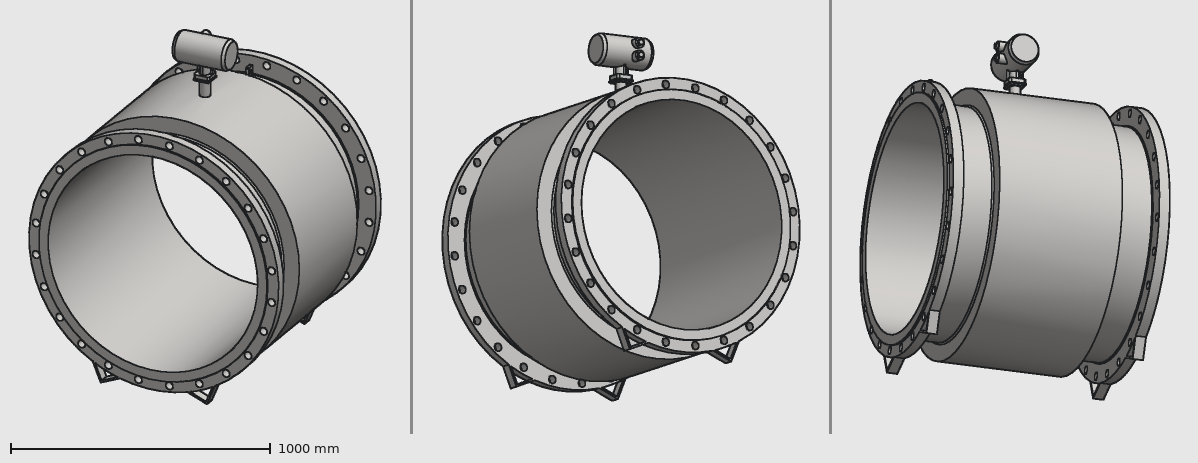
import cadquery as cq
import math

bore_diameter = 900.0
pipe_diameter = 916.0
overall_length = 900.0
body_diameter = 1060.0
body_length = 501.0
body_weld_size = 7.0
flange_weld_size = 4.0

flange_diameter = 1074.0
flange_thickness = 43.0
raised_face_diameter = 980.0
raised_face_height = 8.0
bolt_circle_diameter = 1020.0
bolt_hole_diameter = 30.0
bolt_count = 24

foot_angle = 22.5
foot_corner_radius = 597.0
foot_leg_length = 93.0
foot_leg_thickness = 8.0

lug_length = 35.0
lug_thickness = 12.0
lug_top = 497.0
lug_hole_diameter = 17.0
lug_hole_height = 475.0
lug_corner_chamfer = 4.0

screw_angle = 15
screw_shank_diameter = 8.0
screw_shank_length = 19.0
screw_washer_diameter = 19.0
screw_washer_thickness = 9.0
screw_head_diameter = 10.0
screw_head_height = 7.0

stem_diameter = 43.0
neck_width = 68.0
neck_bottom = 595.0
neck_rim_height = 8.0
neck_rim_chamfer = 5.0
gasket_width = 60.0
gasket_height = 3.0
neck_block_height = 17.0
neck_corner_chamfer = 8.0
post_diameter = 8.0
post_circle_diameter = 57.0
post_count = 4

housing_height = 718.0
housing_diameter = 125.0
housing_length = 226.0
cap_face_diameter = 110.0
cap_edge_length = 13.0
gland_diameter = 39.0
gland_reach = 84.0
gland_tip_diameter = 21.0
gland_tip_reach = 93.0
gland_x = -35.0
gland_spacing = 49.0
gland_rise = 1.0

half_length = overall_length / 2
flange_outer_y = half_length - raised_face_height
flange_inner_y = flange_outer_y - flange_thickness
pipe_radius = pipe_diameter / 2
flange_radius = flange_diameter / 2
gasket_bottom = neck_bottom + neck_rim_height
neck_block_bottom = gasket_bottom + gasket_height
neck_block_top = neck_block_bottom + neck_block_height


def rod_along_y(diameter, y_start, y_end, x=0, z=0):
    """Cylinder parallel to Y between two Y positions."""
    plane = cq.Plane(origin=(x, y_start, z), xDir=(1, 0, 0), normal=(0, 1, 0))
    return cq.Workplane(plane).circle(diameter / 2).extrude(y_end - y_start)


def block_on_z(width, z_bottom, height):
    """Square block centred on the Z axis."""
    return cq.Workplane("XY", origin=(0, 0, z_bottom)).rect(width, width).extrude(height)


def make_tube():
    """Pipe, body, flanges and weld beads, revolved about Y from one profile."""
    body_end = body_length / 2
    rear_half = [
        (0, half_length),
        (raised_face_diameter / 2, half_length),
        (raised_face_diameter / 2, flange_outer_y),
        (flange_radius, flange_outer_y),
        (flange_radius, flange_inner_y),
        (pipe_radius + flange_weld_size, flange_inner_y),
        (pipe_radius, flange_inner_y - flange_weld_size),
        (pipe_radius, body_end + body_weld_size),
        (pipe_radius + body_weld_size, body_end),
        (body_diameter / 2, body_end),
    ]
    mirrored_half = [(radius, -y) for radius, y in reversed(rear_half)]
    profile = cq.Workplane("XY").polyline(rear_half + mirrored_half).close()
    return profile.revolve(360, (0, 0, 0), (0, 1, 0))


def make_bolt_holes():
    """Bolt holes through both flanges, straddling the vertical centreline."""
    pitch = 360 / bolt_count
    holes = (
        cq.Workplane("XZ")
        .polarArray(bolt_circle_diameter / 2, pitch / 2, 360, bolt_count)
        .circle(bolt_hole_diameter / 2)
        .extrude(half_length, both=True)
    )
    middle = rod_along_y(flange_diameter, -flange_inner_y, flange_inner_y)
    return holes.cut(middle)


def make_feet():
    """Right-angle feet, corner pointing outward, as wide as the flanges."""
    leg = foot_leg_length
    inner_leg = leg - foot_leg_thickness
    angle_bar = (
        cq.Workplane("XZ", origin=(0, flange_outer_y, 0))
        .rect(leg, leg)
        .extrude(flange_thickness)
        .translate((leg / 2, 0, leg / 2))
        .cut(
            cq.Workplane("XZ", origin=(0, flange_outer_y, 0))
            .rect(inner_leg, inner_leg)
            .extrude(flange_thickness)
            .translate((leg - inner_leg / 2, 0, leg - inner_leg / 2))
        )
        .rotate((0, 0, 0), (0, 1, 0), -45)
        .translate((0, 0, -foot_corner_radius))
    )
    feet = cq.Workplane("XY")
    for side in (-foot_angle, foot_angle):
        foot = angle_bar.rotate((0, 0, 0), (0, 1, 0), side)
        feet = feet.union(foot).union(foot.mirror("XZ"))
    return feet


def make_lugs():
    """Drilled lifting lugs standing on the pipe against the inner flange faces."""
    lug_base = bore_diameter / 2
    lug_height = lug_top - lug_base
    lug_y = flange_inner_y - lug_length / 2
    lug = (
        cq.Workplane("XY")
        .box(lug_thickness, lug_length, lug_height)
        .edges("|X and >Z and <Y")
        .chamfer(lug_corner_chamfer)
        .translate((0, lug_y, lug_base + lug_height / 2))
        .cut(
            cq.Workplane("YZ")
            .center(lug_y, lug_hole_height)
            .circle(lug_hole_diameter / 2)
            .extrude(lug_thickness, both=True)
        )
    )
    return lug.union(lug.mirror("XZ"))


def make_earthing_screw():
    """Screw parallel to Y, its axis on the rim of the rear flange."""
    x = -flange_radius * math.sin(math.radians(screw_angle))
    z = flange_radius * math.cos(math.radians(screw_angle))
    washer_end = flange_inner_y - screw_washer_thickness
    head_end = washer_end - screw_head_height
    shank = rod_along_y(screw_shank_diameter, washer_end, flange_inner_y + screw_shank_length, x, z)
    washer = rod_along_y(screw_washer_diameter, washer_end, flange_inner_y, x, z)
    head = rod_along_y(screw_head_diameter, head_end, washer_end, x, z)
    return shank.union(washer).union(head)


def make_neck():
    """Stem, flanged block and four posts that carry the housing."""
    stem_bottom = pipe_radius
    stem = (
        cq.Workplane("XY", origin=(0, 0, stem_bottom))
        .circle(stem_diameter / 2)
        .extrude(housing_height - stem_bottom)
    )
    rim = block_on_z(neck_width, neck_bottom, neck_rim_height).faces("<Z").chamfer(neck_rim_chamfer)
    gasket = block_on_z(gasket_width, gasket_bottom, gasket_height)
    block = (
        block_on_z(neck_width, neck_block_bottom, neck_block_height)
        .edges("|Z")
        .chamfer(neck_corner_chamfer)
    )
    posts = (
        cq.Workplane("XY", origin=(0, 0, neck_block_top))
        .polarArray(post_circle_diameter / 2, 0, 360, post_count)
        .circle(post_diameter / 2)
        .extrude(housing_height - neck_block_top)
    )
    return stem.union(rim).union(gasket).union(block).union(posts)


def make_housing():
    """Cylindrical housing with tapered cap edges and two cable glands."""
    cap_taper = (housing_diameter - cap_face_diameter) / 2
    housing = (
        cq.Workplane("YZ", origin=(-housing_length / 2, 0, housing_height))
        .circle(housing_diameter / 2)
        .extrude(housing_length)
        .faces("<X or >X")
        .chamfer(cap_edge_length, cap_taper)
    )
    for offset in (-gland_spacing / 2, gland_spacing / 2):
        gland_height = housing_height + gland_rise + offset
        gland = rod_along_y(gland_diameter, 0, gland_reach, gland_x, gland_height)
        tip = rod_along_y(gland_tip_diameter, 0, gland_tip_reach, gland_x, gland_height)
        housing = housing.union(gland).union(tip)
    return housing


bore = rod_along_y(bore_diameter, -half_length, half_length)

result = (
    make_tube()
    .union(make_feet())
    .cut(make_bolt_holes())
    .union(make_lugs())
    .union(make_earthing_screw())
    .union(make_neck())
    .union(make_housing())
    .cut(bore)
)